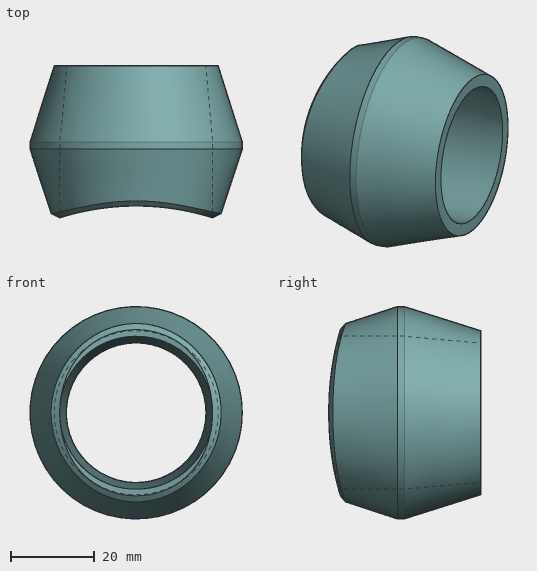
import cadquery as cq
import math

collar_radius = 25.4
flat_end_radius = 19.6
collar_start = 18.3
collar_width = 1.7
front_taper = 0.33
blank_depth = 39.6

bore_radius = 18.3
bore_end_radius = 16.65
bore_cone_depth = collar_start

saddle_radius = 60.95
saddle_crown_depth = 33.6

bevel_start = 31.5
bevel_end = 36.6
bevel_start_radii = (28.1, 22.3)
bevel_end_radii = (17.9, 16.35)

collar_end = collar_start + collar_width
blank_end_radius = collar_radius - front_taper * (blank_depth - collar_end)


def turned(profile):
    """Revolve a closed (radius, depth) profile about the Y axis."""
    points = [(radius, -depth) for radius, depth in profile]
    return cq.Workplane("XY").polyline(points).close().revolve(360, (0, 0, 0), (0, 1, 0))


def saddle_cutter():
    """Material in front of the pipe surface, wide enough to clear the whole body."""
    half_width = collar_radius
    arc_drop = saddle_radius - math.sqrt(saddle_radius**2 - half_width**2)
    arc_end_depth = saddle_crown_depth + arc_drop
    far_depth = arc_end_depth + blank_depth
    return (
        cq.Workplane("XY")
        .moveTo(-half_width, -arc_end_depth)
        .threePointArc((0, -saddle_crown_depth), (half_width, -arc_end_depth))
        .lineTo(half_width, -far_depth)
        .lineTo(-half_width, -far_depth)
        .close()
        .extrude(collar_radius, both=True)
    )


def bevel_envelope():
    """Elliptic taper at the saddle end, joined to a block that holds the rest of the body."""
    taper = (
        cq.Workplane("XZ", origin=(0, -bevel_start, 0))
        .ellipse(*bevel_start_radii)
        .workplane(offset=bevel_end - bevel_start)
        .ellipse(*bevel_end_radii)
        .loft(ruled=True)
    )
    block_side = 3 * collar_radius
    block = cq.Workplane("XZ").rect(block_side, block_side).extrude(bevel_start)
    return block.union(taper)


body = turned([
    (0, 0),
    (flat_end_radius, 0),
    (collar_radius, collar_start),
    (collar_radius, collar_end),
    (blank_end_radius, blank_depth),
    (0, blank_depth),
])

bore = turned([
    (0, 0),
    (bore_end_radius, 0),
    (bore_radius, bore_cone_depth),
    (bore_radius, blank_depth),
    (0, blank_depth),
])

result = body.cut(saddle_cutter()).intersect(bevel_envelope()).cut(bore)